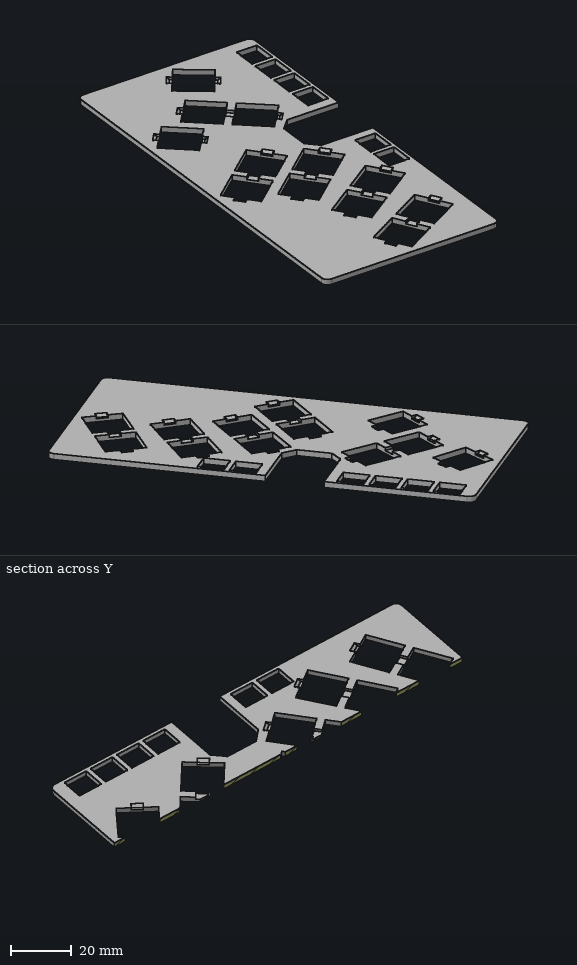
import cadquery as cq

plate_length = 146.3
plate_width = 69.5
plate_thickness = 2.2
corner_radius = 2.5

notch_width = 20.0
notch_depth = 24.625
notch_center_x = -11.65
notch_chamfer = 4.0

window_length = 9.09
window_width = 8.0
window_pitch = 11.0
window_row_y = 29.25
left_row_start_x = -63.29
left_row_count = 4
right_row_start_x = 6.475
right_row_count = 2

switch_size = 14.0
switch_pitch = 17.0
clip_width = 4.0
clip_depth = 1.0
clip_reach = 2.0
clip_slope_run = clip_depth

switch_columns = [
    ((-60.525, 3.1), -35, 1),
    ((-30.3, 7.3), -40, 2),
    ((-31.3, -21.875), -40, 1),
    ((6.925, 7.225), 40, 2),
    ((-2.95, -9.0), 40, 2),
    ((27.475, 16.96), 35, 2),
    ((52.225, 18.825), 30, 2),
]


def make_plate():
    return (
        cq.Workplane("XY")
        .rect(plate_length, plate_width)
        .extrude(plate_thickness)
        .edges("|Z")
        .fillet(corner_radius)
    )


def make_notch():
    back = plate_width / 2
    floor = back - notch_depth
    half = notch_width / 2
    outline = [
        (-half, back),
        (-half, floor + notch_chamfer),
        (-half + notch_chamfer, floor),
        (half - notch_chamfer, floor),
        (half, floor + notch_chamfer),
        (half, back),
    ]
    return (
        cq.Workplane("XY")
        .polyline(outline)
        .close()
        .extrude(plate_thickness)
        .translate((notch_center_x, 0, 0))
    )


def make_window_row(start_x, count):
    centers = [(start_x + i * window_pitch, window_row_y) for i in range(count)]
    return cq.Workplane("XY").pushPoints(centers).rect(window_length, window_width).extrude(plate_thickness)


def make_clip_trough(front_end, rear_end):
    """Flat-floored trough along Y, open at the top face, with sloped ends."""
    floor_z = plate_thickness - clip_depth
    profile = [
        (front_end, plate_thickness),
        (front_end + clip_slope_run, floor_z),
        (rear_end - clip_slope_run, floor_z),
        (rear_end, plate_thickness),
    ]
    return cq.Workplane("YZ").polyline(profile).close().extrude(clip_width / 2, both=True)


def make_column_cutout(rear_center, turn, count):
    """Switch squares spaced toward -Y from the rearmost one, joined by one clip trough, then turned."""
    centers = [(0, -i * switch_pitch) for i in range(count)]
    squares = cq.Workplane("XY").pushPoints(centers).rect(switch_size, switch_size).extrude(plate_thickness)
    end_reach = switch_size / 2 + clip_reach
    trough = make_clip_trough(centers[-1][1] - end_reach, end_reach)
    rear_x, rear_y = rear_center
    return squares.union(trough).rotate((0, 0, 0), (0, 0, 1), turn).translate((rear_x, rear_y, 0))


result = make_plate().cut(make_notch())
result = result.cut(make_window_row(left_row_start_x, left_row_count))
result = result.cut(make_window_row(right_row_start_x, right_row_count))
for rear_center, turn, count in switch_columns:
    result = result.cut(make_column_cutout(rear_center, turn, count))